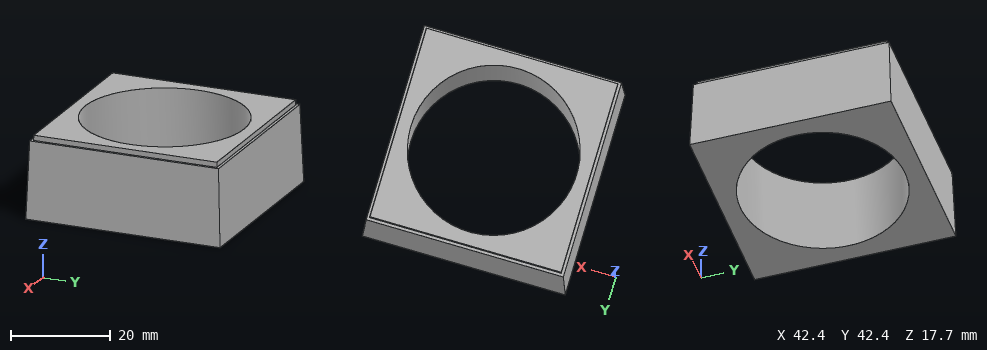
import cadquery as cq

base_side = 42.4
shoulder_side = 41.22
total_height = 17.7

lip_side = 40.0
lip_height = 1.1
body_height = total_height - lip_height

bore_diameter = 34.6

body = (
    cq.Workplane("XY")
    .rect(base_side, base_side)
    .workplane(offset=body_height)
    .rect(shoulder_side, shoulder_side)
    .loft(ruled=True)
)

lip = (
    cq.Workplane("XY")
    .workplane(offset=body_height)
    .rect(lip_side, lip_side)
    .extrude(lip_height)
)

bore = cq.Workplane("XY").circle(bore_diameter / 2).extrude(total_height)

result = body.union(lip).cut(bore)